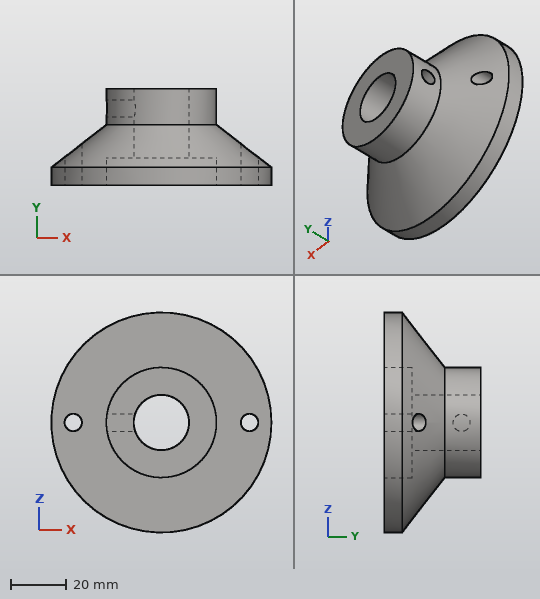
import cadquery as cq

flange_radius = 40.0
flange_thickness = 6.5
hub_radius = flange_radius / 2
hub_length = 13.0
total_length = 35.0
cone_end = total_length - hub_length

bore_radius = hub_radius / 2
recess_radius = hub_radius
recess_depth = 10.0

hole_diameter = 6.2
bolt_offset = 32.0
set_screw_inset = 7.0


def turned_body():
    """Revolve the half section: flange, cone, hub and stepped bore."""
    section = [
        (recess_radius, 0),
        (flange_radius, 0),
        (flange_radius, flange_thickness),
        (hub_radius, cone_end),
        (hub_radius, total_length),
        (bore_radius, total_length),
        (bore_radius, recess_depth),
        (recess_radius, recess_depth),
    ]
    return cq.Workplane("XY").polyline(section).close().revolve(360, (0, 0), (0, 1))


def bolt_holes():
    """Two holes through the flange, parallel to the axis."""
    return (
        cq.Workplane("XZ")
        .pushPoints([(-bolt_offset, 0), (bolt_offset, 0)])
        .circle(hole_diameter / 2)
        .extrude(-total_length)
    )


def set_screw_hole():
    """Radial hole from the -X side of the hub into the bore."""
    return (
        cq.Workplane("YZ")
        .center(total_length - set_screw_inset, 0)
        .circle(hole_diameter / 2)
        .extrude(-hub_radius)
    )


result = turned_body().cut(bolt_holes()).cut(set_screw_hole())